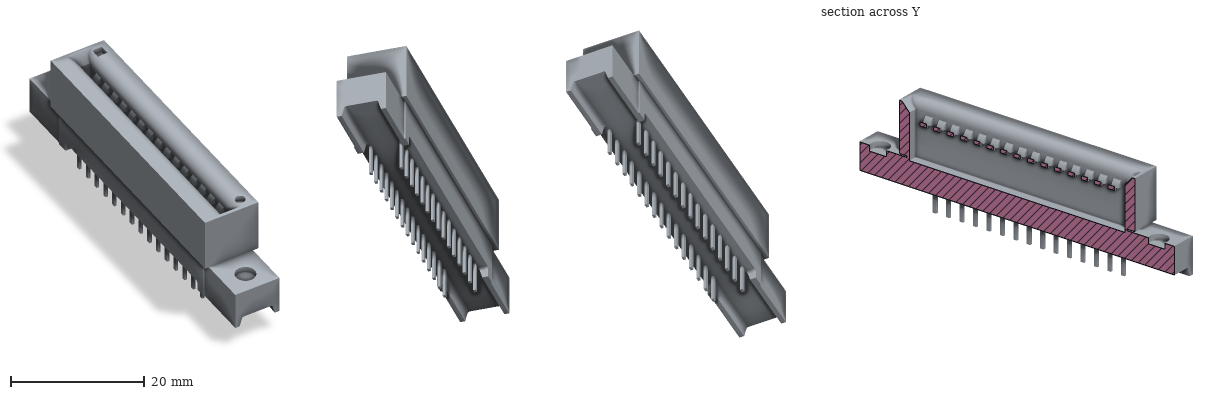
import cadquery as cq
import math


total_length = 59.55
mounting_height = 6.45
ear_width = 7.75
hole_depth = 1.0

housing_length = 44.65
housing_width = 9.35
housing_bottom = 6.6
housing_top = 15.55

base_length = 41.8
base_width = 8.1

relief_height = 1.6
relief_length = 38.2
relief_corner_radius = 0.4
channel_bottom_width = 6.2
channel_top_width = 5.25
channel_corner_radius = 0.35

mouth_length = 43.55
lead_in = 1.4
lead_depth = 1.55
slot_length = mouth_length - 2 * lead_in
slot_width = 1.95
mouth_width = slot_width + 2 * lead_in
slot_depth = 9.5

contact_count = 15
contact_row_length = 35.55
contact_pitch = contact_row_length / (contact_count - 1)
contact_width = 1.3
contact_reach = 0.7
contact_top_depth = 2.1
contact_crest_depth = 3.2
contact_bow = 0.1
contact_root = 0.1
pin_width = 0.65
pin_thickness = 0.4
pin_row_spacing = 4.8
pin_length = 3.1

ear_hole_diameter = 3.3
ear_hole_x = 26.3
marker_size = 1.6
marker_x = 20.3
marker_y = 2.75


def block(length, width, bottom, top):
    """Box centred on X and Y between two heights."""
    return cq.Workplane("XY", origin=(0, 0, bottom)).rect(length, width).extrude(top - bottom)


def contact_positions():
    """X positions of the evenly spaced contacts."""
    return [-contact_row_length / 2 + i * contact_pitch for i in range(contact_count)]


def underside_channel():
    """Tapered channel along the whole underside."""
    half_bottom = channel_bottom_width / 2
    half_top = channel_top_width / 2
    return (
        cq.Workplane("YZ")
        .polyline([
            (-half_bottom, 0),
            (half_bottom, 0),
            (half_top, relief_height),
            (-half_top, relief_height),
        ])
        .close()
        .extrude(total_length / 2, both=True)
        .edges("|X and >Z")
        .fillet(channel_corner_radius)
    )


def underside_relief():
    """Recess across the full width, which leaves a foot at each end."""
    return (
        block(relief_length, housing_width, 0, relief_height)
        .edges("|Y and >Z")
        .fillet(relief_corner_radius)
    )


def card_slot():
    """Straight slot plus a mouth with rounded long sides and flared ends."""
    half_slot = slot_width / 2
    half_mouth = mouth_width / 2
    lead_bottom = housing_top - lead_depth
    radius = (lead_in ** 2 + lead_depth ** 2) / (2 * lead_in)
    half_sweep = math.asin(lead_depth / radius) / 2
    middle_y = half_slot + radius * (1 - math.cos(half_sweep))
    middle_z = lead_bottom + radius * math.sin(half_sweep)
    rounded_mouth = (
        cq.Workplane("YZ")
        .moveTo(-half_slot, lead_bottom)
        .lineTo(half_slot, lead_bottom)
        .threePointArc((middle_y, middle_z), (half_mouth, housing_top))
        .lineTo(-half_mouth, housing_top)
        .threePointArc((-middle_y, middle_z), (-half_slot, lead_bottom))
        .close()
        .extrude(mouth_length / 2, both=True)
    )
    flared_ends = (
        cq.Workplane("XZ")
        .polyline([
            (-slot_length / 2, lead_bottom),
            (slot_length / 2, lead_bottom),
            (mouth_length / 2, housing_top),
            (-mouth_length / 2, housing_top),
        ])
        .close()
        .extrude(mouth_width / 2, both=True)
    )
    straight_slot = block(slot_length, slot_width, housing_top - slot_depth, lead_bottom)
    return straight_slot.union(rounded_mouth.intersect(flared_ends))


def contact(x, side):
    """Contact with a bowed sloping face on one slot wall; side is +1 or -1 along Y."""
    wall = side * slot_width / 2
    root = wall + side * contact_root
    crest = wall - side * contact_reach
    return (
        cq.Workplane("YZ", origin=(x, 0, housing_top))
        .moveTo(root, -contact_top_depth)
        .lineTo(wall, -contact_top_depth)
        .sagittaArc((crest, -contact_crest_depth), -side * contact_bow)
        .lineTo(root, -contact_crest_depth)
        .close()
        .extrude(contact_width / 2, both=True)
    )


def pin(x, side):
    """Solder pin hanging from the roof of the underside relief."""
    return block(pin_width, pin_thickness, -pin_length, relief_height + contact_root).translate(
        (x, side * pin_row_spacing / 2, 0)
    )


def blind_holes():
    """Ear holes, plus the square and round recesses that mark the slot ends."""
    ear_floor = mounting_height - hole_depth
    marker_floor = housing_top - hole_depth
    ear_holes = (
        cq.Workplane("XY", origin=(0, 0, ear_floor))
        .pushPoints([(-ear_hole_x, 0), (ear_hole_x, 0)])
        .circle(ear_hole_diameter / 2)
        .extrude(hole_depth)
    )
    square_marker = block(marker_size, marker_size, marker_floor, housing_top)
    square_marker = square_marker.translate((-marker_x, marker_y, 0))
    round_marker = (
        cq.Workplane("XY", origin=(marker_x, marker_y, marker_floor))
        .circle(marker_size / 2)
        .extrude(hole_depth)
    )
    return ear_holes.union(square_marker).union(round_marker)


ears = block(total_length, ear_width, 0, mounting_height)
base = block(base_length, base_width, 0, housing_bottom)
housing = block(housing_length, housing_width, housing_bottom, housing_top)
result = ears.union(base).union(housing)
result = result.cut(underside_channel()).cut(underside_relief())
result = result.cut(card_slot()).cut(blind_holes())

for contact_x in contact_positions():
    for row_side in (-1, 1):
        result = result.union(contact(contact_x, row_side)).union(pin(contact_x, row_side))

result = cq.Workplane(result.solids().val())